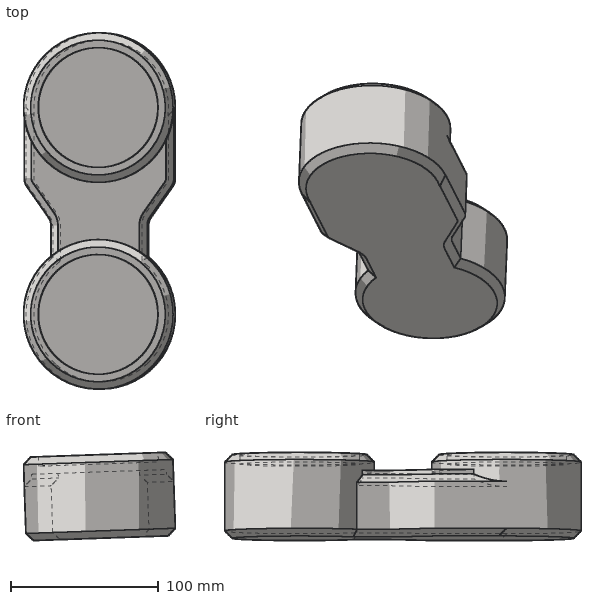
import cadquery as cq

drum_radius = 50.7
drum_height = 56.7
overall_length = 241.3
drum_offset = overall_length / 2 - drum_radius
edge_chamfer = 5.0
rim_width = 5.0
pocket_radius = drum_radius - edge_chamfer - rim_width
pocket_depth = 6.3

neck_half_width = 32.5
taper_rear_y = 19.0
taper_front_y = -6.8
corner_radius = 10.0
shoulder_height = 42.0
web_height = 45.1

tilt_angle = 2.0


def make_drum(center_y):
    """Solid drum with both rims chamfered."""
    return (
        cq.Workplane("XY")
        .center(0, center_y)
        .circle(drum_radius)
        .extrude(drum_height)
        .faces("<Z or >Z")
        .chamfer(edge_chamfer)
    )


def make_pocket(center_y):
    """Shallow round recess in the top of a drum."""
    return (
        cq.Workplane("XY", origin=(0, center_y, drum_height - pocket_depth))
        .circle(pocket_radius)
        .extrude(pocket_depth)
    )


def make_web():
    """Tapered web with chamfered edges and a raised plate on its top face."""
    right_side = [
        (neck_half_width, -drum_offset),
        (neck_half_width, taper_front_y),
        (drum_radius, taper_rear_y),
        (drum_radius, drum_offset),
    ]
    left_side = [(-x, y) for x, y in reversed(right_side)]
    taper_center_y = (taper_front_y + taper_rear_y) / 2
    taper_box = cq.selectors.BoxSelector(
        (-2 * drum_radius, taper_center_y - drum_radius, 0),
        (2 * drum_radius, taper_center_y + drum_radius, shoulder_height),
    )
    body = (
        cq.Workplane("XY")
        .polyline(right_side + left_side)
        .close()
        .extrude(shoulder_height)
        .edges("|Z")
        .edges(taper_box)
        .fillet(corner_radius)
        .faces("<Z or >Z")
        .chamfer(edge_chamfer)
    )
    return body.faces(">Z").wires().toPending().workplane().extrude(web_height - shoulder_height)


drum_centers = (-drum_offset, drum_offset)
part = make_web()
for drum_y in drum_centers:
    part = part.union(make_drum(drum_y))
for drum_y in drum_centers:
    part = part.cut(make_pocket(drum_y))

result = part.rotate((0, 0, 0), (0, 1, 0), -tilt_angle)